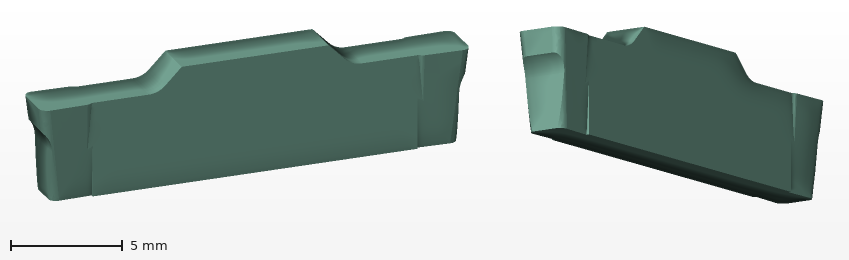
import cadquery as cq
import math

length = 20.6
height = 5.65
body_width = 2.04
head_width = 2.39
rake_height = 4.53

crest_half_length = 3.52
shoulder_angle = math.radians(45)
shoulder_radius = 1.11
body_half_length = 7.79

corner_radius = 0.41
neck_width = 2.29
neck_y = 8.08
side_draft = 0.25
nose_draft = 0.52
root_overlap = 0.2

land_bottom = 3.38
relief_bottom = 2.5
relief_y = 9.76

half_length = length / 2
half_body = body_width / 2


def make_body():
    """Side profile with a raised crest, extruded to the body width."""
    fillet_drop = shoulder_radius * (1 - math.cos(shoulder_angle))
    fillet_run = shoulder_radius * math.sin(shoulder_angle)
    slope_end_z = rake_height + fillet_drop
    slope_end_y = crest_half_length + (height - slope_end_z) / math.tan(shoulder_angle)
    fillet_end_y = slope_end_y + fillet_run
    return (
        cq.Workplane("YZ")
        .moveTo(-body_half_length, 0)
        .lineTo(body_half_length, 0)
        .lineTo(body_half_length, rake_height)
        .lineTo(fillet_end_y, rake_height)
        .tangentArcPoint((slope_end_y, slope_end_z), relative=False)
        .lineTo(crest_half_length, height)
        .lineTo(-crest_half_length, height)
        .lineTo(-slope_end_y, slope_end_z)
        .tangentArcPoint((-fillet_end_y, rake_height), relative=False)
        .lineTo(-body_half_length, rake_height)
        .close()
        .extrude(half_body, both=True)
    )


def head_outline(z, side_inset, nose_inset, ramped):
    """Plan outline of the +Y head at level z, as a closed wire."""
    nose_y = half_length - nose_inset
    corner_y = nose_y - corner_radius
    half_nose = head_width / 2 - side_inset
    half_neck = neck_width / 2 - side_inset
    half_flat = half_nose - corner_radius
    root_y = body_half_length - root_overlap
    outline = (
        cq.Workplane("XY", origin=(0, 0, z))
        .moveTo(-half_flat, nose_y)
        .lineTo(half_flat, nose_y)
        .tangentArcPoint((half_nose, corner_y), relative=False)
    )
    if ramped:
        half_root = half_body - side_inset
        ramp_mid = ((half_neck + half_root) / 2, (neck_y + body_half_length) / 2)
        outline = (
            outline.lineTo(half_neck, neck_y)
            .tangentArcPoint(ramp_mid, relative=False)
            .tangentArcPoint((half_root, body_half_length), relative=False)
            .lineTo(half_root, root_y)
            .lineTo(-half_root, root_y)
            .lineTo(-half_root, body_half_length)
            .tangentArcPoint((-ramp_mid[0], ramp_mid[1]), relative=False)
            .tangentArcPoint((-half_neck, neck_y), relative=False)
        )
    else:
        flank_taper = (half_nose - half_neck) / (corner_y - neck_y)
        half_root = half_neck - flank_taper * (neck_y - root_y)
        outline = outline.lineTo(half_root, root_y).lineTo(-half_root, root_y)
    outline = outline.lineTo(-half_nose, corner_y).tangentArcPoint((-half_flat, nose_y), relative=False)
    return outline.close().val()


def drafted_head(ramped):
    """Head leaning inward from the rake face down to the underside."""
    bottom = head_outline(0, side_draft, nose_draft, ramped)
    top = head_outline(rake_height, 0, 0, ramped)
    return cq.Workplane(cq.Solid.makeLoft([bottom, top], True))


def nose_relief():
    """Cutter that sets the lower nose face back below a concave fillet."""
    land_y = half_length - nose_draft * (rake_height - land_bottom) / rake_height
    return (
        cq.Workplane("YZ")
        .moveTo(relief_y, 0)
        .lineTo(relief_y, relief_bottom)
        .tangentArcPoint((land_y, land_bottom), relative=False)
        .lineTo(half_length, land_bottom)
        .lineTo(half_length, 0)
        .close()
        .extrude(head_width, both=True)
    )


def make_head():
    proud_stock = cq.Workplane("XY")
    for side in (-1, 1):
        proud_stock = proud_stock.union(
            cq.Workplane("XY")
            .center(side * (half_body + head_width / 2), neck_y / 2)
            .box(head_width, neck_y, rake_height, centered=(True, True, False))
        )
    ramp_trim = proud_stock.cut(drafted_head(ramped=True))
    return drafted_head(ramped=False).cut(ramp_trim).cut(nose_relief())


head = make_head()
result = make_body().union(head).union(head.mirror("XZ"))